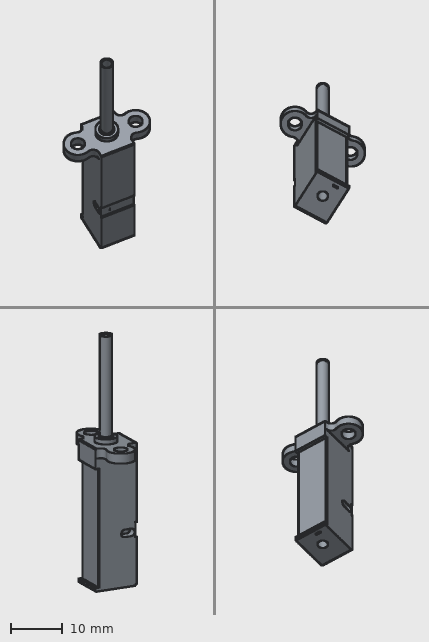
import cadquery as cq
import math


total_height = 50.5

block_left = 4.1
block_right = 4.9
block_width = 7.1
block_height = 28.9
edge_chamfer = 0.175
heel_chamfer = 0.45

recess_depth = 0.65
recess_bottom = 0.75
recess_top = 24.75
recess_chamfer_x = 0.15
recess_chamfer_y = 0.35

ear_radius = 2.8
ear_offset = 6.2
ear_hole_diameter = 2.7
ear_thickness = 2.0
ear_fillet = 1.2

notch_depth = 0.3
notch_bottom = 9.85
notch_height = 3.05

slot_center_x = 3.0
slot_center_z = 10.9
slot_length = 2.95
slot_width = 1.5
slot_depth = 2.0

nub_length = 1.05
nub_width = 0.25
nub_height = 0.1
nub_x = -3.0
nub_y = -1.1

collar_radius = 2.2
collar_height = 1.0
collar_top = block_height + collar_height

tube_radius = 1.2
bore_radius = 1.0
tube_top = total_height - nub_height
rim_chamfer = 0.15
flare_radius = 1.45
flare_height = 0.2


def make_block():
    """Chamfered block profile in XZ, with the recess and the notch in its end faces."""
    recess_x = recess_depth - block_left
    notch_x = block_right - notch_depth
    notch_top = notch_bottom + notch_height
    profile = [
        (edge_chamfer - block_left, 0),
        (block_right - heel_chamfer, 0),
        (block_right, heel_chamfer),
        (block_right, notch_bottom),
        (notch_x, notch_bottom),
        (notch_x, notch_top),
        (block_right, notch_top),
        (block_right, block_height - edge_chamfer),
        (block_right - edge_chamfer, block_height),
        (edge_chamfer - block_left, block_height),
        (-block_left, block_height - edge_chamfer),
        (-block_left, recess_top),
        (recess_x, recess_top),
        (recess_x, recess_bottom),
        (-block_left, recess_bottom),
        (-block_left, edge_chamfer),
    ]
    block = cq.Workplane("XZ").polyline(profile).close().extrude(block_width / 2, both=True)

    for side in (1, -1):
        face_y = side * block_width / 2
        bevel = (
            cq.Workplane("XY")
            .workplane(offset=recess_bottom)
            .polyline([
                (recess_x, face_y),
                (recess_x + recess_chamfer_x, face_y),
                (recess_x, face_y - side * recess_chamfer_y),
            ])
            .close()
            .extrude(recess_top - recess_bottom)
        )
        block = block.cut(bevel)
    return block


def make_ear(side):
    """Round ear on the +Y (side=1) or -Y (side=-1) face, blended into it by fillet arcs."""
    face_y = block_width / 2
    fillet_y = face_y + ear_fillet
    center_distance = ear_radius + ear_fillet
    drop = ear_offset - fillet_y
    fillet_x = math.sqrt(center_distance ** 2 - drop ** 2)
    tangent_x = fillet_x * ear_radius / center_distance
    tangent_y = ear_offset - drop * ear_radius / center_distance
    start_angle = -math.pi / 2
    end_angle = math.atan2(drop, -fillet_x) - 2 * math.pi
    middle_angle = (start_angle + end_angle) / 2
    middle_x = fillet_x + ear_fillet * math.cos(middle_angle)
    middle_y = fillet_y + ear_fillet * math.sin(middle_angle)

    return (
        cq.Workplane("XY")
        .workplane(offset=block_height - ear_thickness)
        .moveTo(-fillet_x, 0)
        .lineTo(fillet_x, 0)
        .lineTo(fillet_x, side * face_y)
        .threePointArc((middle_x, side * middle_y), (tangent_x, side * tangent_y))
        .threePointArc((0, side * (ear_offset + ear_radius)), (-tangent_x, side * tangent_y))
        .threePointArc((-middle_x, side * middle_y), (-fillet_x, side * face_y))
        .close()
        .extrude(ear_thickness)
    )


def make_ear_holes():
    return (
        cq.Workplane("XY")
        .workplane(offset=block_height - ear_thickness)
        .pushPoints([(0, ear_offset), (0, -ear_offset)])
        .circle(ear_hole_diameter / 2)
        .extrude(ear_thickness)
    )


def make_slot():
    return (
        cq.Workplane("XZ", origin=(0, -block_width / 2, 0))
        .center(slot_center_x, slot_center_z)
        .slot2D(slot_length, slot_width)
        .extrude(-slot_depth)
    )


def make_nub():
    return (
        cq.Workplane("XY")
        .center(nub_x, nub_y)
        .rect(nub_width, nub_length)
        .extrude(-nub_height)
    )


def make_housing():
    collar = cq.Workplane("XY").workplane(offset=block_height).circle(collar_radius).extrude(collar_height)
    bore = cq.Workplane("XY").circle(bore_radius).extrude(collar_top)
    housing = make_block()
    for side in (1, -1):
        housing = housing.union(make_ear(side))
    return housing.union(collar).union(make_nub()).cut(make_ear_holes()).cut(make_slot()).cut(bore)


def make_tube():
    """Tube with a flared foot on the collar and an inner chamfer at its open end."""
    profile = [
        (bore_radius, collar_top),
        (flare_radius, collar_top),
        (tube_radius, collar_top + flare_height),
        (tube_radius, tube_top),
        (bore_radius + rim_chamfer, tube_top),
        (bore_radius, tube_top - rim_chamfer),
    ]
    return cq.Workplane("XZ").polyline(profile).close().revolve(360, (0, 0, 0), (0, 1, 0))


housing = make_housing()
tube = make_tube()

result = cq.Compound.makeCompound([housing.val(), tube.val()])